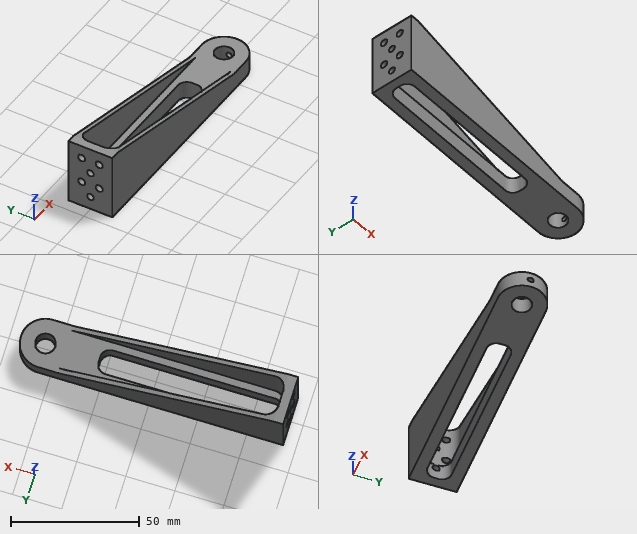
import cadquery as cq

length = 110.0
width = 20.0
height = 30.0
tip_radius = width / 2
tip_center_x = length - tip_radius

end_wall = 4.0
plate_thickness = 8.0
slope_end_x = 91.0
slope_blend_radius = 5.0

side_wall = 2.0
pocket_end_x = tip_center_x
pocket_corner_radius = 5.0
slot_end_x = 78.0
slot_width = 10.0
slot_corner_radius = 4.0

pivot_diameter = 8.0
corner_hole_diameter = 3.2
center_hole_diameter = 3.0
mount_spacing_y = 8.0
mount_spacing_z = 12.0
mount_center_z = 18.0
lower_hole_z = 6.0
tip_hole_diameter = 2.4
tip_hole_z = plate_thickness / 2


def vertical_prism(start_x, end_x, prism_width, base_z, top_z):
    """Box centred on the XZ plane, given by its ends along X and Z."""
    return cq.Workplane("XY").box(
        end_x - start_x, prism_width, top_z - base_z, centered=(False, True, False)
    ).translate((start_x, 0, base_z))


def hole_along_x(diameter, start_x, depth, y, z):
    """Cylinder running toward +X."""
    return cq.Workplane("YZ", origin=(start_x, y, z)).circle(diameter / 2).extrude(depth)


def make_body():
    """Tapered side profile, blended at the foot of the slope and trimmed to a rounded tip."""
    profile = (
        cq.Workplane("XZ")
        .moveTo(0, 0)
        .lineTo(length, 0)
        .lineTo(length, plate_thickness)
        .lineTo(slope_end_x, plate_thickness)
        .lineTo(end_wall, height)
        .lineTo(0, height)
        .close()
        .extrude(width / 2, both=True)
    )
    slope_foot = cq.selectors.NearestToPointSelector((slope_end_x, 0, plate_thickness))
    profile = profile.edges("|Y").edges(slope_foot).fillet(slope_blend_radius)
    outline = (
        cq.Workplane("XY")
        .moveTo(0, -width / 2)
        .lineTo(tip_center_x, -width / 2)
        .threePointArc((length, 0), (tip_center_x, width / 2))
        .lineTo(0, width / 2)
        .close()
        .extrude(height)
    )
    return profile.intersect(outline)


def make_pocket():
    """Open-topped pocket between the side walls, rounded at the end wall."""
    pocket = vertical_prism(end_wall, pocket_end_x, width - 2 * side_wall, plate_thickness, height)
    return pocket.edges("|Z and <X").fillet(pocket_corner_radius)


def make_slot():
    """Round-cornered slot through the plate."""
    slot = vertical_prism(end_wall, slot_end_x, slot_width, 0, plate_thickness)
    return slot.edges("|Z").fillet(slot_corner_radius)


def make_pivot_hole():
    return cq.Workplane("XY").center(tip_center_x, 0).circle(pivot_diameter / 2).extrude(plate_thickness)


def cut_mount_holes(body):
    """Five holes in a quincunx plus a lower one, all through the end wall."""
    depth = end_wall + pocket_corner_radius
    for z in (mount_center_z, lower_hole_z):
        body = body.cut(hole_along_x(center_hole_diameter, 0, depth, 0, z))
    for side_y in (-1, 1):
        for side_z in (-1, 1):
            y = side_y * mount_spacing_y / 2
            z = mount_center_z + side_z * mount_spacing_z / 2
            body = body.cut(hole_along_x(corner_hole_diameter, 0, depth, y, z))
    return body


body = make_body().cut(make_pocket()).cut(make_slot()).cut(make_pivot_hole())
body = cut_mount_holes(body)

result = body.cut(hole_along_x(tip_hole_diameter, tip_center_x, tip_radius, 0, tip_hole_z))